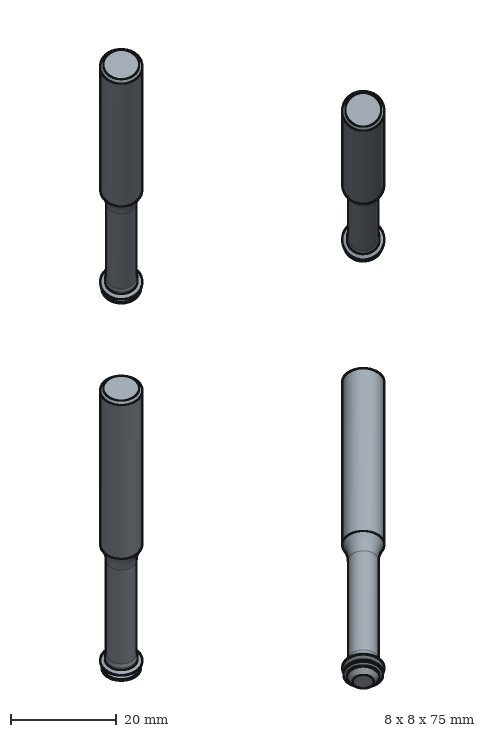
import cadquery as cq
import math

TOTAL_LENGTH = 75.0
SHANK_RADIUS = 4.0
SHANK_BOTTOM = 34.0
TOP_CHAMFER = 0.6

NECK_RADIUS = 2.93
NECK_TOP = 30.0
NECK_BOTTOM = 5.4

CORE_RADIUS = 3.1
CORE_TOP = 4.5
TIP_CHAMFER = 1.1
TOOTH_PITCH = 1.45
LOWER_TOOTH_HEIGHT = 1.95
LOWER_TOOTH_RADIUS = 3.77
LOWER_TOOTH_CREST = 0.42
UPPER_TOOTH_RADIUS = 4.0
UPPER_TOOTH_CREST = 0.16
FLANK_ANGLE = 25.0


def arc_tangent_to_neck(neck_z, outer_radius, outer_z):
    """Return the middle point of a concave arc that leaves the neck tangentially."""
    rise = outer_z - neck_z
    flare = outer_radius - NECK_RADIUS
    arc_radius = (rise**2 + flare**2) / (2 * flare)
    half_sweep = math.asin(rise / arc_radius) / 2
    return (
        NECK_RADIUS + arc_radius * (1 - math.cos(half_sweep)),
        neck_z + arc_radius * math.sin(half_sweep),
    )


def tooth_ring(center_z, crest_radius, crest_width):
    """Return a ring tooth with a flat crest and sloping flanks, filled to the axis."""
    half_crest = crest_width / 2
    flank_rise = (crest_radius - CORE_RADIUS) * math.tan(math.radians(FLANK_ANGLE))
    half_root = half_crest + flank_rise
    return (
        cq.Workplane("XZ")
        .moveTo(0, center_z - half_root)
        .lineTo(CORE_RADIUS, center_z - half_root)
        .lineTo(crest_radius, center_z - half_crest)
        .lineTo(crest_radius, center_z + half_crest)
        .lineTo(CORE_RADIUS, center_z + half_root)
        .lineTo(0, center_z + half_root)
        .close()
        .revolve(360, (0, 0, 0), (0, 1, 0))
    )


def tool_body():
    """Return the turned body: tip, core, neck and shank, standing on Z = 0."""
    core_arc_middle = arc_tangent_to_neck(NECK_BOTTOM, CORE_RADIUS, CORE_TOP)
    shank_arc_middle = arc_tangent_to_neck(NECK_TOP, SHANK_RADIUS, SHANK_BOTTOM)
    return (
        cq.Workplane("XZ")
        .moveTo(0, 0)
        .lineTo(CORE_RADIUS - TIP_CHAMFER, 0)
        .lineTo(CORE_RADIUS, TIP_CHAMFER)
        .lineTo(CORE_RADIUS, CORE_TOP)
        .threePointArc(core_arc_middle, (NECK_RADIUS, NECK_BOTTOM))
        .lineTo(NECK_RADIUS, NECK_TOP)
        .threePointArc(shank_arc_middle, (SHANK_RADIUS, SHANK_BOTTOM))
        .lineTo(SHANK_RADIUS, TOTAL_LENGTH - TOP_CHAMFER)
        .lineTo(SHANK_RADIUS - TOP_CHAMFER, TOTAL_LENGTH)
        .lineTo(0, TOTAL_LENGTH)
        .close()
        .revolve(360, (0, 0, 0), (0, 1, 0))
    )


lower_tooth = tooth_ring(LOWER_TOOTH_HEIGHT, LOWER_TOOTH_RADIUS, LOWER_TOOTH_CREST)
upper_tooth = tooth_ring(LOWER_TOOTH_HEIGHT + TOOTH_PITCH, UPPER_TOOTH_RADIUS, UPPER_TOOTH_CREST)

result = tool_body().union(lower_tooth).union(upper_tooth)